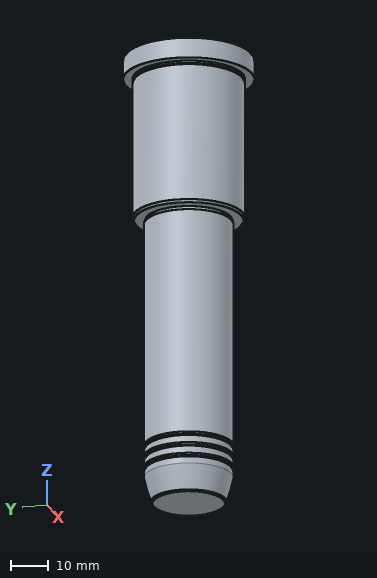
import cadquery as cq

total_length = 126
head_radius = 17.5
head_height = 6.0
head_chamfer = 0.5

shoulder_radius = 15.0
shoulder_bottom = 80.0
shoulder_chamfer_height = 0.8
shoulder_chamfer_depth = 0.4

shank_radius = 12.0
nose_height = 7.2
nose_end_radius = 10.1
nose_mid_radius = 11.1
tip_chamfer = 0.4

groove_width = 1.0
groove_depth = 0.4
groove_pitch = 3.0
groove_count = 3
first_groove_center = 9.6

head_bottom = total_length - head_height


def make_body():
    """Revolve the stepped pin with its curved nose and tapered shank relief about Z."""
    profile = (
        cq.Workplane("XZ")
        .lineTo(nose_end_radius - tip_chamfer, 0)
        .lineTo(nose_end_radius, tip_chamfer)
        .threePointArc((nose_mid_radius, nose_height / 2), (shank_radius, nose_height))
        .lineTo(shank_radius, shoulder_bottom - groove_width)
        .lineTo(shank_radius - groove_depth, shoulder_bottom)
        .lineTo(shoulder_radius - shoulder_chamfer_depth, shoulder_bottom)
        .lineTo(shoulder_radius, shoulder_bottom + shoulder_chamfer_height)
        .lineTo(shoulder_radius, head_bottom)
        .lineTo(head_radius, head_bottom)
        .lineTo(head_radius, total_length - head_chamfer)
        .lineTo(head_radius - head_chamfer, total_length)
        .lineTo(0, total_length)
        .close()
    )
    return profile.revolve(360, (0, 0, 0), (0, 1, 0))


def groove_cutter(radius, center_z):
    """Ring that cuts a shallow V groove into a cylinder."""
    inner_radius = radius - groove_depth
    outer_radius = radius + groove_depth
    half_width = groove_width / 2
    profile = (
        cq.Workplane("XZ")
        .moveTo(outer_radius, center_z - half_width)
        .lineTo(radius, center_z - half_width)
        .lineTo(inner_radius, center_z)
        .lineTo(radius, center_z + half_width)
        .lineTo(outer_radius, center_z + half_width)
        .close()
    )
    return profile.revolve(360, (0, 0, 0), (0, 1, 0))


result = make_body()

for index in range(groove_count):
    groove_z = first_groove_center + index * groove_pitch
    result = result.cut(groove_cutter(shank_radius, groove_z))

result = result.cut(groove_cutter(shoulder_radius, head_bottom - groove_width / 2))